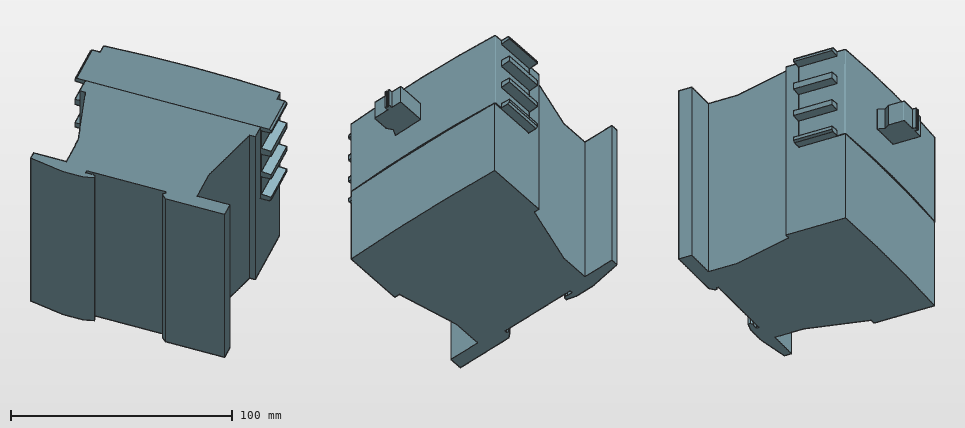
import cadquery as cq

width = 94.8
height = 89.6
depth = 100.2
half_width = width / 2

housing_half_width = 42.3
housing_crest = 83.7
housing_bow = 0.9
left_shoulder_y = 51.7
right_shoulder_y = 52.1
shoulder_half_width = 39.6
neck_half_width = 31.6
neck_y = 21.5
flange_y = 6.7
rail_seat_y = 4.3

flange_tip_y = 3.0
taper_end_x = -30.7
groove_x = -20.9
groove_lip_y = 3.0
left_hook_x = -16.0
left_hook_low_y = 1.3
left_hook_high_y = 2.5
left_hook_bump_x = -17.2
left_hook_bump_y = 3.3
left_hook_neck_x = -18.0
right_seat_x = 17.4
right_hook_x = 16.5
right_hook_low_y = 2.0
right_hook_high_y = 2.9
right_seat_step_y = 3.3
right_hook_foot_x = 18.8

cover_half_width = 42.7
cover_back_y = 58.8
cover_crest = 84.3
cover_bow = 1.4
cover_corner_radius = 0.7
cover_base_z = height / 2

rib_front_y = 78.6
rib_chamfer = 0.9
rib_draft = 0.4
bottom_rib_top_z = 47.7
lower_rib_z = (58.4, 61.9)
upper_rib_z = (72.6, 76.5)
top_rib_bottom_z = 87.2

plug_width = 15.4
plug_base_z = 62.2
plug_height = 10.4
plug_end_y = 98.3
plug_groove_top_y = 90.2
plug_groove_y = 87.5
plug_groove_x = 13.5
plug_foot_x = 14.9
plug_corner_radius = 0.5
nub_start_x = 5.2
nub_width = 2.4
slot_width = 0.8
slot_depth = 0.5


def make_housing():
    front_end_y = housing_crest - housing_bow
    profile = (
        cq.Workplane("XY")
        .moveTo(-housing_half_width, front_end_y)
        .threePointArc((0, housing_crest), (housing_half_width, front_end_y))
        .lineTo(housing_half_width, right_shoulder_y)
        .lineTo(shoulder_half_width, right_shoulder_y)
        .lineTo(neck_half_width, neck_y)
        .lineTo(neck_half_width, flange_y)
        .lineTo(half_width, flange_y)
        .lineTo(half_width, 0)
        .lineTo(right_hook_foot_x, 0)
        .lineTo(right_hook_x, right_hook_low_y)
        .lineTo(right_hook_x, right_hook_high_y)
        .lineTo(right_seat_x, right_seat_step_y)
        .lineTo(right_seat_x, rail_seat_y)
        .lineTo(groove_x, rail_seat_y)
        .lineTo(groove_x, groove_lip_y)
        .lineTo(left_hook_neck_x, groove_lip_y)
        .lineTo(left_hook_bump_x, left_hook_bump_y)
        .lineTo(left_hook_x, left_hook_high_y)
        .lineTo(left_hook_x, left_hook_low_y)
        .lineTo(groove_x, 0)
        .lineTo(taper_end_x, 0)
        .lineTo(-half_width, flange_tip_y)
        .lineTo(-half_width, flange_y)
        .lineTo(-neck_half_width, flange_y)
        .lineTo(-neck_half_width, neck_y)
        .lineTo(-shoulder_half_width, left_shoulder_y)
        .lineTo(-housing_half_width, left_shoulder_y)
        .close()
    )
    cover_seat = cq.Workplane("XY").box(
        width, depth - cover_back_y, height - cover_base_z, centered=(True, False, False)
    ).translate((0, cover_back_y, cover_base_z))
    return profile.extrude(height).cut(cover_seat)


def make_ribs(bottom_z, top_z):
    """One bar through the cover that stands out as a rib on both sides."""
    at_bottom_edge = bottom_z == cover_base_z
    at_top_edge = top_z == height
    tip_bottom_z = bottom_z + (rib_chamfer if at_bottom_edge else rib_draft)
    tip_top_z = top_z - (rib_chamfer if at_top_edge else rib_draft)
    flush_half_width = half_width - rib_chamfer
    bottom_half_width = flush_half_width if at_bottom_edge else cover_half_width
    top_half_width = flush_half_width if at_top_edge else cover_half_width
    return (
        cq.Workplane("XZ", origin=(0, rib_front_y, 0))
        .moveTo(-bottom_half_width, bottom_z)
        .lineTo(bottom_half_width, bottom_z)
        .lineTo(half_width, tip_bottom_z)
        .lineTo(half_width, tip_top_z)
        .lineTo(top_half_width, top_z)
        .lineTo(-top_half_width, top_z)
        .lineTo(-half_width, tip_top_z)
        .lineTo(-half_width, tip_bottom_z)
        .close()
        .extrude(rib_front_y - cover_back_y)
    )


def make_cover():
    front_end_y = cover_crest - cover_bow
    cover = (
        cq.Workplane("XY", origin=(0, 0, cover_base_z))
        .moveTo(-cover_half_width, cover_back_y)
        .lineTo(-cover_half_width, front_end_y)
        .threePointArc((0, cover_crest), (cover_half_width, front_end_y))
        .lineTo(cover_half_width, cover_back_y)
        .close()
        .extrude(height - cover_base_z)
        .edges("|Z")
        .edges(">Y")
        .fillet(cover_corner_radius)
    )
    rib_spans = [
        (cover_base_z, bottom_rib_top_z),
        lower_rib_z,
        upper_rib_z,
        (top_rib_bottom_z, height),
    ]
    for bottom_z, top_z in rib_spans:
        cover = cover.union(make_ribs(bottom_z, top_z))
    return cover


def make_plug(cover):
    foot_y = cover_crest - cover_bow
    nub_end_x = nub_start_x + nub_width
    slot_start_x = nub_start_x + (nub_width - slot_width) / 2
    body = (
        cq.Workplane("XY", origin=(0, 0, plug_base_z))
        .moveTo(0, foot_y)
        .lineTo(0, plug_end_y)
        .lineTo(nub_start_x, plug_end_y)
        .lineTo(nub_start_x, depth)
        .lineTo(slot_start_x, depth)
        .lineTo(slot_start_x, depth - slot_depth)
        .lineTo(slot_start_x + slot_width, depth - slot_depth)
        .lineTo(slot_start_x + slot_width, depth)
        .lineTo(nub_end_x, depth)
        .lineTo(nub_end_x, plug_end_y)
        .lineTo(plug_width - plug_corner_radius, plug_end_y)
        .radiusArc((plug_width, plug_end_y - plug_corner_radius), plug_corner_radius)
        .lineTo(plug_width, plug_groove_top_y)
        .lineTo(plug_groove_x, plug_groove_y)
        .lineTo(plug_foot_x, cover_crest)
        .lineTo(plug_foot_x, foot_y)
        .close()
        .extrude(plug_height)
    )
    return body.cut(cover)


housing = make_housing()
cover = make_cover()
plug = make_plug(cover)

result = cq.Compound.makeCompound([housing.val(), cover.val(), plug.val()])